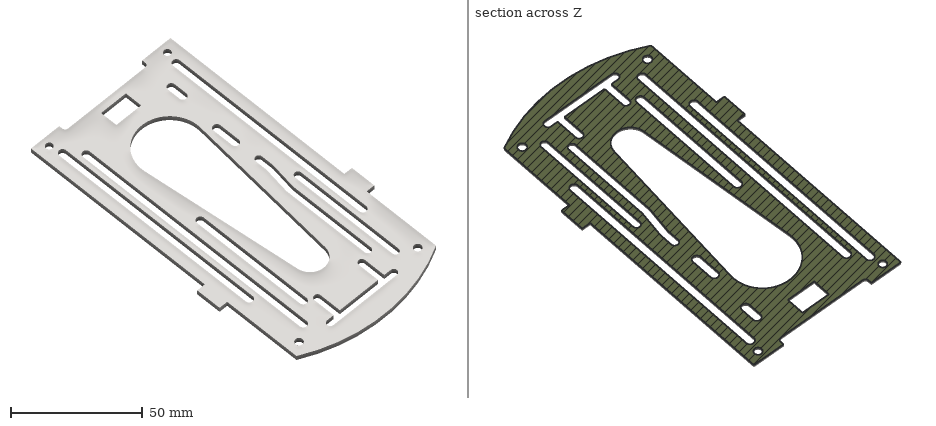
import cadquery as cq
import math

length = 151.8
width = 75.3
thickness = 2.5
side_length = 142.3

tab_start = 93.2
tab_length = 12.0
overall_width = 83.5

notch_depth = 3.2
notch_width = 44.8
notch_fillet = 1.5

left_hole_diameter = 3.3
left_hole_x = 4.1
left_hole_y = 31.9
right_hole_diameter = 3.6
right_hole_x = 138.1
right_hole_y = 32.0

window_start = 6.8
window_length = 8.2
window_width = 13.4

large_radius = 15.0
large_center_x = 37.0
small_radius = 7.5
small_center_x = 112.1

wide_slot = 3.6
narrow_slot = 3.3
outer_slot_start = 8.2
outer_slot_end = 111.8
outer_slot_y = 30.7
inner_slot_start = 15.0
long_slot_end = 134.9
short_slot_end = 127.0

straight_slots = [
    (outer_slot_start, outer_slot_end, outer_slot_y, wide_slot),
    (outer_slot_start, outer_slot_end, -outer_slot_y, wide_slot),
    (inner_slot_start, long_slot_end, -24.7, wide_slot),
    (inner_slot_start, 24.9, 21.1, wide_slot),
    (41.3, 54.8, 19.3, wide_slot),
    (68.3, short_slot_end, -16.8, wide_slot),
    (79.4, long_slot_end, 24.9, narrow_slot),
]

bent_slot_start = 63.3
bend_start_x = 70.9
bend_end_x = 83.5
bent_slot_left_y = 19.9
bent_slot_right_y = 17.9

cross_slot_x = 140.0
cross_slot_length = 37.6
arm_start = 126.4
arm_y = 12.0


def box(start_x, size_x, size_y):
    """Block of plate thickness, centered on y = 0."""
    return cq.Workplane("XY").box(size_x, size_y, thickness, centered=(False, True, False)).translate(
        (start_x, 0, 0)
    )


def disc(x, y, diameter):
    return cq.Workplane("XY").center(x, y).circle(diameter / 2).extrude(thickness)


def slot(start_x, end_x, y, slot_width):
    """Round-ended slot along X, measured over its ends."""
    return (
        cq.Workplane("XY")
        .center((start_x + end_x) / 2, y)
        .slot2D(end_x - start_x, slot_width)
        .extrude(thickness)
    )


def plate():
    half_width = width / 2
    body = (
        cq.Workplane("XY")
        .moveTo(0, -half_width)
        .lineTo(side_length, -half_width)
        .threePointArc((length, 0), (side_length, half_width))
        .lineTo(0, half_width)
        .close()
        .extrude(thickness)
    )
    return body.union(box(tab_start, tab_length, overall_width))


def notch():
    return box(0, notch_depth, notch_width).edges("|Z and >X").fillet(notch_fillet)


def teardrop():
    cosine = (large_radius - small_radius) / (small_center_x - large_center_x)
    sine = math.sqrt(1 - cosine**2)
    large_x = large_center_x + large_radius * cosine
    large_y = large_radius * sine
    small_x = small_center_x + small_radius * cosine
    small_y = small_radius * sine
    return (
        cq.Workplane("XY")
        .moveTo(large_x, large_y)
        .threePointArc((large_center_x - large_radius, 0), (large_x, -large_y))
        .lineTo(small_x, -small_y)
        .threePointArc((small_center_x + small_radius, 0), (small_x, small_y))
        .close()
        .extrude(thickness)
    )


def bent_slot():
    radius = narrow_slot / 2
    left_x = bent_slot_start + radius
    right_x = short_slot_end - radius
    slope_angle = math.atan2(bent_slot_right_y - bent_slot_left_y, bend_end_x - bend_start_x)
    bend_shift = radius * math.tan(slope_angle / 2)
    return (
        cq.Workplane("XY")
        .moveTo(left_x, bent_slot_left_y + radius)
        .lineTo(bend_start_x - bend_shift, bent_slot_left_y + radius)
        .lineTo(bend_end_x - bend_shift, bent_slot_right_y + radius)
        .lineTo(right_x, bent_slot_right_y + radius)
        .threePointArc((short_slot_end, bent_slot_right_y), (right_x, bent_slot_right_y - radius))
        .lineTo(bend_end_x + bend_shift, bent_slot_right_y - radius)
        .lineTo(bend_start_x + bend_shift, bent_slot_left_y - radius)
        .lineTo(left_x, bent_slot_left_y - radius)
        .threePointArc((bent_slot_start, bent_slot_left_y), (left_x, bent_slot_left_y + radius))
        .close()
        .extrude(thickness)
    )


def cross_slot():
    cutter = (
        cq.Workplane("XY")
        .center(cross_slot_x, 0)
        .slot2D(cross_slot_length, narrow_slot, 90)
        .extrude(thickness)
    )
    arm_end = cross_slot_x + narrow_slot / 2
    for side in (-1, 1):
        cutter = cutter.union(slot(arm_start, arm_end, side * arm_y, narrow_slot))
    return cutter


result = plate().cut(notch()).cut(box(window_start, window_length, window_width))
result = result.cut(teardrop()).cut(bent_slot()).cut(cross_slot())

for side in (-1, 1):
    result = result.cut(disc(left_hole_x, side * left_hole_y, left_hole_diameter))
    result = result.cut(disc(right_hole_x, side * right_hole_y, right_hole_diameter))

for start_x, end_x, y, slot_width in straight_slots:
    result = result.cut(slot(start_x, end_x, y, slot_width))